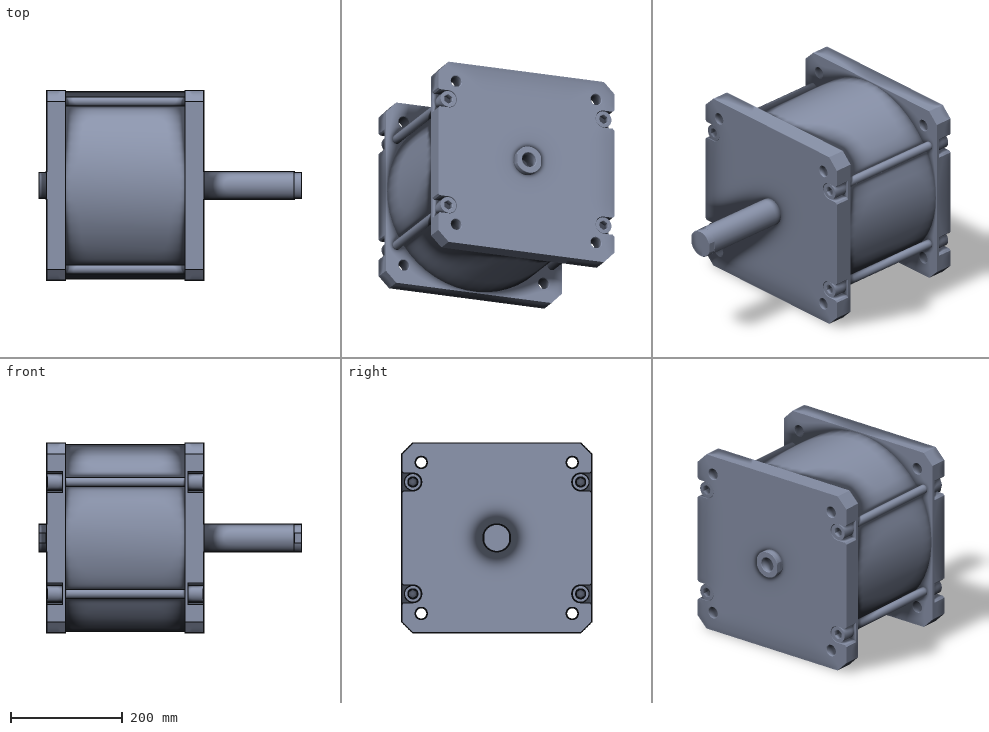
import cadquery as cq
import math

shaft_length = 470.0
shaft_end_length = 14.0
plate_thickness = 34.0
barrel_length = 213.0
rear_plate_x = shaft_end_length
barrel_x = rear_plate_x + plate_thickness
front_plate_x = barrel_x + barrel_length
front_plate_end_x = front_plate_x + plate_thickness

plate_size = 340.0
corner_chamfer = 20.0
mount_hole_offset = 135.0
mount_hole_diameter = 20.0
mount_hole_chamfer = 1.0

barrel_diameter = 335.0

shaft_diameter = 50.0
shaft_end_diameter = 49.7
shaft_end_chamfer = 0.7
flat_distance = 46.2
flat_length = 12.5
center_hole_diameter = 26.5
center_hole_chamfer = 1.0
center_hole_depth = 40.0
drill_tip_depth = 8.0

tie_rod_y = 150.0
tie_rod_z = 100.0
tie_rod_diameter = 16.0
head_diameter = 30.0
head_recess = 1.0
slot_width = 32.0
slot_depth = 28.0
slot_mouth_chamfer = 3.0
socket_width = 15.0
socket_mouth_diameter = 18.0
socket_mouth_depth = 0.5
socket_depth = 14.0

SIGNS = (-1, 1)
tie_rod_centers = [(y * tie_rod_y, z * tie_rod_z) for y in SIGNS for z in SIGNS]
mount_hole_centers = [(y * mount_hole_offset, z * mount_hole_offset) for y in SIGNS for z in SIGNS]


def section_at(x):
    """Workplane across the shaft axis: local x is Y, local y is Z, normal is +X."""
    return cq.Workplane("YZ", origin=(x, 0, 0))


def head_slot(x, side, z):
    """Round-bottomed slot for one bolt head, with a bevelled mouth."""
    edge = plate_size / 2
    half = slot_width / 2
    bevel = slot_mouth_chamfer
    return (
        section_at(x)
        .moveTo(side * tie_rod_y, z + half)
        .lineTo(side * (edge - bevel), z + half)
        .lineTo(side * edge, z + half + bevel)
        .lineTo(side * edge, z - half - bevel)
        .lineTo(side * (edge - bevel), z - half)
        .lineTo(side * tie_rod_y, z - half)
        .threePointArc((side * (tie_rod_y - half), z), (side * tie_rod_y, z + half))
        .close()
        .extrude(slot_depth)
    )


def mount_holes(plate_x):
    """Through holes near the plate corners, countersunk on both faces."""
    inner_radius = mount_hole_diameter / 2
    outer_radius = inner_radius + mount_hole_chamfer
    holes = (
        section_at(plate_x)
        .pushPoints(mount_hole_centers)
        .circle(inner_radius)
        .extrude(plate_thickness)
    )
    for face_x, inward in ((plate_x, 1), (plate_x + plate_thickness, -1)):
        for y, z in mount_hole_centers:
            countersink = (
                section_at(face_x)
                .center(y, z)
                .circle(outer_radius)
                .workplane(offset=inward * mount_hole_chamfer)
                .circle(inner_radius)
                .loft()
            )
            holes = holes.union(countersink)
    return holes


def make_plate(plate_x, slot_x):
    """Square end plate with bevelled corners; slot_x is where its head slots begin along X."""
    plate = (
        section_at(plate_x)
        .rect(plate_size, plate_size)
        .extrude(plate_thickness)
        .edges("|X")
        .chamfer(corner_chamfer)
    )
    plate = plate.cut(mount_holes(plate_x))
    rod_holes = (
        section_at(plate_x)
        .pushPoints(tie_rod_centers)
        .circle(tie_rod_diameter / 2)
        .extrude(plate_thickness)
    )
    shaft_hole = section_at(plate_x).circle(shaft_diameter / 2).extrude(plate_thickness)
    plate = plate.cut(rod_holes).cut(shaft_hole)
    for side in SIGNS:
        for z in SIGNS:
            plate = plate.cut(head_slot(slot_x, side, z * tie_rod_z))
    return plate


def make_barrel():
    """Cylinder clamped between the two end plates, bored for the shaft."""
    return (
        section_at(barrel_x)
        .circle(barrel_diameter / 2)
        .circle(shaft_diameter / 2)
        .extrude(barrel_length)
    )


def make_shaft():
    """Shaft through both plates, with slimmer flatted ends and a center hole in the rear end."""
    main_section = (
        section_at(shaft_end_length)
        .circle(shaft_diameter / 2)
        .extrude(shaft_length - 2 * shaft_end_length)
    )
    shaft = (
        section_at(0)
        .circle(shaft_end_diameter / 2)
        .extrude(shaft_length)
        .faces("<X or >X")
        .chamfer(shaft_end_chamfer)
        .union(main_section)
    )
    flat_cut = (shaft_diameter - flat_distance) / 2
    flat_y = (shaft_diameter + flat_distance) / 4
    for x in (0, shaft_length - flat_length):
        flats = (
            section_at(x)
            .pushPoints([(-flat_y, 0), (flat_y, 0)])
            .rect(flat_cut, shaft_diameter)
            .extrude(flat_length)
        )
        shaft = shaft.cut(flats)
    radius = center_hole_diameter / 2
    center_hole = (
        cq.Workplane("XY")
        .polyline([
            (0, 0),
            (0, radius + center_hole_chamfer),
            (center_hole_chamfer, radius),
            (center_hole_depth, radius),
            (center_hole_depth + drill_tip_depth, 0),
        ])
        .close()
        .revolve(360, (0, 0, 0), (1, 0, 0))
    )
    return shaft.cut(center_hole)


def hex_socket(plane, inward):
    """Hexagon socket with a countersunk mouth; inward is the X direction into the head."""
    corner_diameter = socket_width / math.cos(math.pi / 6)
    hexagon = (
        plane.transformed(rotate=(0, 0, 90))
        .polygon(6, corner_diameter)
        .extrude(inward * socket_depth)
    )
    countersink = (
        plane.circle(socket_mouth_diameter / 2)
        .workplane(offset=inward * socket_mouth_depth)
        .circle(socket_width / 2)
        .loft()
    )
    return hexagon.union(countersink)


def make_tie_rod(y, z):
    """Rod through both plates with a socket head at each end."""
    start_x = rear_plate_x + head_recess
    end_x = front_plate_end_x - head_recess
    head_length = slot_depth - head_recess

    def at(x):
        return section_at(x).center(y, z)

    rod = at(start_x).circle(tie_rod_diameter / 2).extrude(end_x - start_x)
    rod = rod.union(at(start_x).circle(head_diameter / 2).extrude(head_length))
    rod = rod.union(at(end_x - head_length).circle(head_diameter / 2).extrude(head_length))
    for end, inward in ((start_x, 1), (end_x, -1)):
        rod = rod.cut(hex_socket(at(end), inward))
    return rod


rear_plate = make_plate(rear_plate_x, rear_plate_x)
front_plate = make_plate(front_plate_x, front_plate_end_x - slot_depth)
barrel = make_barrel()
shaft = make_shaft()
tie_rods = [make_tie_rod(y, z) for y, z in tie_rod_centers]

result = cq.Compound.makeCompound([
    rear_plate.val(),
    front_plate.val(),
    barrel.val(),
    shaft.val(),
    *[rod.val() for rod in tie_rods],
])